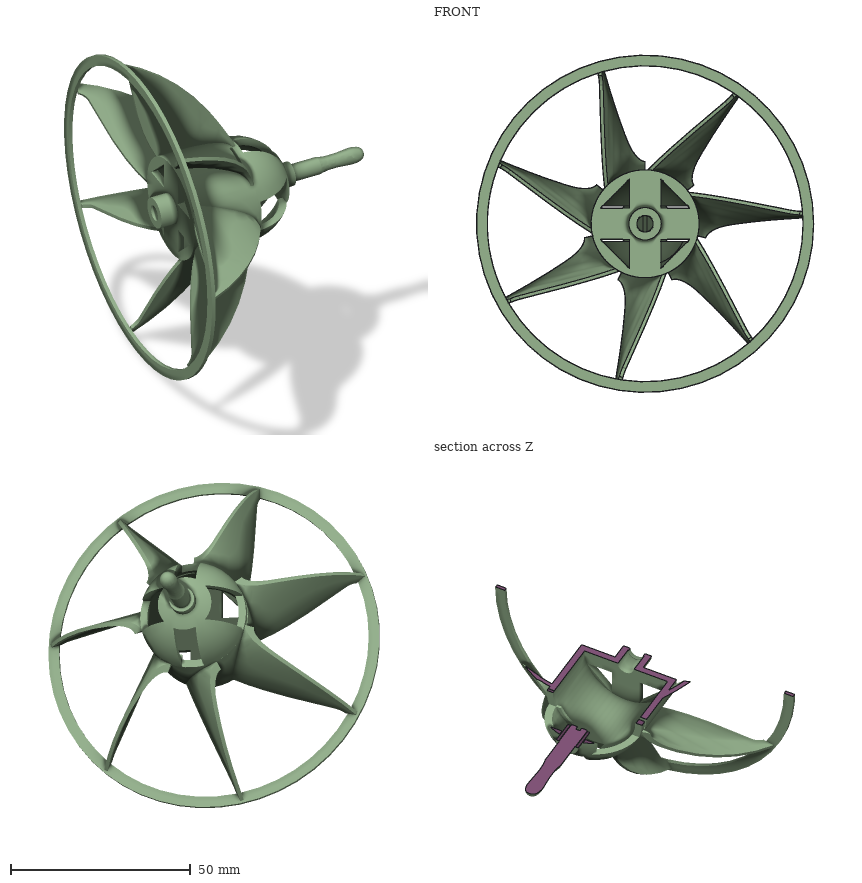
import cadquery as cq
import math


RIM_OUTER_R = 46.9
RIM_INNER_R = 43.9
RIM_THICKNESS = 1.1

HUB_R = 15.0
BORE_R = 26.0 / 2
HUB_WALL = HUB_R - BORE_R
HUB_FRONT_Y = 10.1
HUB_REAR_Y = 30.2
SPOKE_WIDTH = 8.7
OPENING_TIP = 12.4
OPENING_COUNT = 4

BOSS_R = 9.0 / 2
BOSS_FRONT_Y = 5.1
BOSS_MOUTH_R = 4.5 / 2
BOSS_MOUTH_DEPTH = 1.1
SPINDLE_R = 5.0 / 2

BLADE_COUNT = 7
BLADE_PITCH = 360 / BLADE_COUNT
BLADE_THICKNESS = 1.0
BLADE_ROOT_Z = 7.5
BLADE_TIP_Y = RIM_THICKNESS
BLADE_SECTION_POINTS = (
    (0, HUB_REAR_Y),
    (-1.8, 29.8),
    (-3.7, 28.9),
    (-6.2, 25.9),
    (-8.2, 21.65),
    (-10.1, 16.0),
    (-11.6, 9.6),
    (-13.0, BLADE_TIP_Y),
)
OFFSET_STEPS = 12
BLADE_REAR_MID = (18.8, 32.1)
BLADE_TIP_OUTER_Z = 44.4
BLADE_TIP_INNER_Z = 41.2
TIP_CURVE_MID = (2.3, 40.2)
TIP_CURVE_END = (3.2, 38.6)
BLADE_FRONT_POINTS = ((4.9, 29.05), (7.8, 17.8), (12.7, BLADE_ROOT_Z))

LUG_STEPS = (0, -2)
LUG_WIDTH = 8.1
LUG_HEIGHT = 1.1
NOTCH_HEIGHT = 2.0

CAP_R = HUB_R
CAP_INNER_R = BORE_R
WINDOW_FRONT_Y = 30.9
WINDOW_REAR_Y = 43.1
WINDOW_ALONG_X = 9.8
WINDOW_ALONG_Z = 6.3

LEDGE_INNER_R = 11.6

BUSHING_R = 7.0 / 2
CAP_HOLE_R = 7.2 / 2
BUSHING_FRONT_Y = 40.0
BUSHING_REAR_Y = 47.1

SPINDLE_FRONT_Y = 39.5
SPINDLE_STEP_Y = 55.6
SPINDLE_TIP_Y = 69.5
SPINDLE_TIP_R = 4.5 / 2
WAIST_R = 4.0 / 2
WAIST_Y = 59.6
SWELL_END_Y = 64.1
SLOT_WIDTH = 1.1
SLOT_DEPTH = 1.1


def cylinder(radius, front_y, rear_y):
    """A solid cylinder on the Y axis."""
    plane = cq.Workplane("XZ", origin=(0, front_y, 0))
    return plane.circle(radius).extrude(-(rear_y - front_y))


def box(x_range, y_range, z_range):
    """An axis-aligned box given by its limits."""
    (x0, x1), (y0, y1), (z0, z1) = x_range, y_range, z_range
    return cq.Workplane("XY").box(x1 - x0, y1 - y0, z1 - z0, centered=False).translate((x0, y0, z0))


def turned_about_y(shape, pitches):
    return shape.rotate((0, 0, 0), (0, 1, 0), pitches * BLADE_PITCH)


def blade_section():
    """The curled band of one blade in the XY plane: flat at the hub rear, steep at the rim."""
    rear_edge = cq.Edge.makeSpline([cq.Vector(*point) for point in BLADE_SECTION_POINTS])
    front_points = []
    for i in range(OFFSET_STEPS + 1):
        along = rear_edge.tangentAt(i / OFFSET_STEPS)
        inward = cq.Vector(-along.y, along.x).normalized()
        front_points.append(rear_edge.positionAt(i / OFFSET_STEPS) + inward * BLADE_THICKNESS)
    front_edge = cq.Edge.makeSpline(front_points)
    root_end = cq.Edge.makeLine(front_edge.startPoint(), rear_edge.startPoint())
    tip_end = cq.Edge.makeLine(rear_edge.endPoint(), front_edge.endPoint())
    return cq.Wire.assembleEdges([rear_edge, tip_end, front_edge, root_end])


def blade_side_outline():
    """The outline of one blade seen along X, as (Y, Z) points."""
    return (
        cq.Workplane("YZ")
        .moveTo(HUB_REAR_Y, BLADE_ROOT_Z)
        .lineTo(HUB_REAR_Y, HUB_R)
        .threePointArc(BLADE_REAR_MID, (BLADE_TIP_Y, BLADE_TIP_OUTER_Z))
        .lineTo(BLADE_TIP_Y, BLADE_TIP_INNER_Z)
        .threePointArc(TIP_CURVE_MID, TIP_CURVE_END)
        .spline(BLADE_FRONT_POINTS, includeCurrent=True)
        .close()
    )


def make_blade():
    band = cq.Solid.extrudeLinear(blade_section(), [], cq.Vector(0, 0, RIM_OUTER_R))
    side = blade_side_outline().extrude(HUB_R, both=True)
    return side.intersect(cq.Workplane(band))


def corner_opening():
    half = SPOKE_WIDTH / 2
    plane = cq.Workplane("XZ", origin=(0, HUB_FRONT_Y, 0))
    return plane.polyline([(half, half), (OPENING_TIP, half), (half, OPENING_TIP)]).close().extrude(-HUB_WALL)


def lug_block(height):
    """A block across the hub wall, down from its rear end: the place of a lug or of its notch."""
    return box((0, LUG_WIDTH), (HUB_REAR_Y - height, HUB_REAR_Y), (0, RIM_INNER_R))


def make_impeller():
    rim = cylinder(RIM_OUTER_R, 0, RIM_THICKNESS).cut(cylinder(RIM_INNER_R, 0, RIM_THICKNESS))
    body = cylinder(HUB_R, HUB_FRONT_Y, HUB_REAR_Y)
    blade = make_blade()
    for i in range(BLADE_COUNT):
        body = body.union(turned_about_y(blade, i))
    body = body.union(rim).union(cylinder(BOSS_R, BOSS_FRONT_Y, HUB_FRONT_Y))

    floor_y = HUB_FRONT_Y + HUB_WALL
    mouth_end_y = BOSS_FRONT_Y + BOSS_MOUTH_DEPTH
    body = body.cut(cylinder(BORE_R, floor_y, HUB_REAR_Y))
    body = body.cut(cylinder(BOSS_MOUTH_R, BOSS_FRONT_Y, mouth_end_y))
    body = body.cut(cylinder(SPINDLE_R, mouth_end_y, floor_y))
    for i in range(OPENING_COUNT):
        body = body.cut(corner_opening().rotate((0, 0, 0), (0, 1, 0), i * 360 / OPENING_COUNT))
    for step in LUG_STEPS:
        body = body.cut(turned_about_y(lug_block(NOTCH_HEIGHT), step))
    return body


def make_ledge():
    """The foot inside the cap rim, below the wall that stands between two windows."""
    rim_y = (HUB_REAR_Y, WINDOW_FRONT_Y)
    ring = cylinder(BORE_R, *rim_y).cut(cylinder(LEDGE_INNER_R, *rim_y))
    return ring.intersect(box((WINDOW_ALONG_Z / 2, CAP_R), rim_y, (-CAP_R, -WINDOW_ALONG_X / 2)))


def make_cap():
    outer_mid = CAP_R * math.sqrt(0.5)
    inner_mid = CAP_INNER_R * math.sqrt(0.5)
    dome = (
        cq.Workplane("XY", origin=(0, HUB_REAR_Y, 0))
        .moveTo(CAP_INNER_R, 0)
        .lineTo(CAP_R, 0)
        .threePointArc((outer_mid, outer_mid), (0, CAP_R))
        .lineTo(0, CAP_INNER_R)
        .threePointArc((inner_mid, inner_mid), (CAP_INNER_R, 0))
        .close()
        .revolve(360, (0, 0, 0), (0, 1, 0))
    )
    window_y = (WINDOW_FRONT_Y, WINDOW_REAR_Y)
    across = (-CAP_R, CAP_R)
    cap = dome.cut(box(across, window_y, (-WINDOW_ALONG_X / 2, WINDOW_ALONG_X / 2)))
    cap = cap.cut(box((-WINDOW_ALONG_Z / 2, WINDOW_ALONG_Z / 2), window_y, across))
    cap = cap.cut(cylinder(CAP_HOLE_R, BUSHING_FRONT_Y, BUSHING_REAR_Y))
    cap = cap.union(make_ledge())

    lug_y = HUB_REAR_Y - LUG_HEIGHT
    wall = cylinder(HUB_R, lug_y, HUB_REAR_Y).cut(cylinder(BORE_R, lug_y, HUB_REAR_Y))
    for step in LUG_STEPS:
        cap = cap.union(wall.intersect(turned_about_y(lug_block(LUG_HEIGHT), step)))
    return cap


def make_bushing():
    sleeve = cylinder(BUSHING_R, BUSHING_FRONT_Y, BUSHING_REAR_Y)
    return sleeve.cut(cylinder(SPINDLE_R, BUSHING_FRONT_Y, BUSHING_REAR_Y))


def make_spindle():
    tip_start_y = SPINDLE_TIP_Y - SPINDLE_TIP_R
    tip_mid = SPINDLE_TIP_R * math.sqrt(0.5)
    profile = (
        cq.Workplane("XY")
        .moveTo(0, SPINDLE_FRONT_Y)
        .lineTo(SPINDLE_R, SPINDLE_FRONT_Y)
        .lineTo(SPINDLE_R, SPINDLE_STEP_Y)
        .spline(
            [
                (WAIST_R, WAIST_Y),
                (SPINDLE_TIP_R, SWELL_END_Y),
                (SPINDLE_TIP_R, tip_start_y),
                (tip_mid, tip_start_y + tip_mid),
                (0, SPINDLE_TIP_Y),
            ],
            includeCurrent=True,
        )
        .close()
    )
    spindle = profile.revolve(360, (0, 0, 0), (0, 1, 0))
    half = SLOT_WIDTH / 2
    slot = box((-half, half), (SPINDLE_FRONT_Y, SPINDLE_FRONT_Y + SLOT_DEPTH), (-SPINDLE_R, SPINDLE_R))
    return spindle.cut(slot)


impeller = make_impeller()
cap = make_cap()
bushing = make_bushing()
spindle = make_spindle()

bodies = [impeller, cap, bushing, spindle]
result = cq.Compound.makeCompound([body.solids().val() for body in bodies])